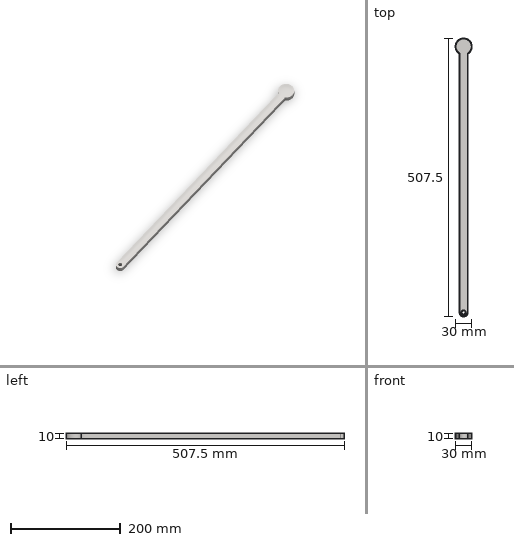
import cadquery as cq

length = 507.5
thickness = 10.0
head_diameter = 30.0
bar_width = 15.0
hole_diameter = 7.0

head_center_y = length / 2 - head_diameter / 2
tip_center_y = -length / 2 + bar_width / 2
bar_length = head_center_y - tip_center_y


def disc(diameter, center_y):
    """Upright disc of full thickness centred on the Y axis."""
    return cq.Workplane("XY").center(0, center_y).circle(diameter / 2).extrude(thickness)


bar = (
    cq.Workplane("XY")
    .center(0, tip_center_y + bar_length / 2)
    .rect(bar_width, bar_length)
    .extrude(thickness)
)

head = disc(head_diameter, head_center_y)
rounded_tip = disc(bar_width, tip_center_y)
through_hole = disc(hole_diameter, tip_center_y)

result = bar.union(head).union(rounded_tip).cut(through_hole)